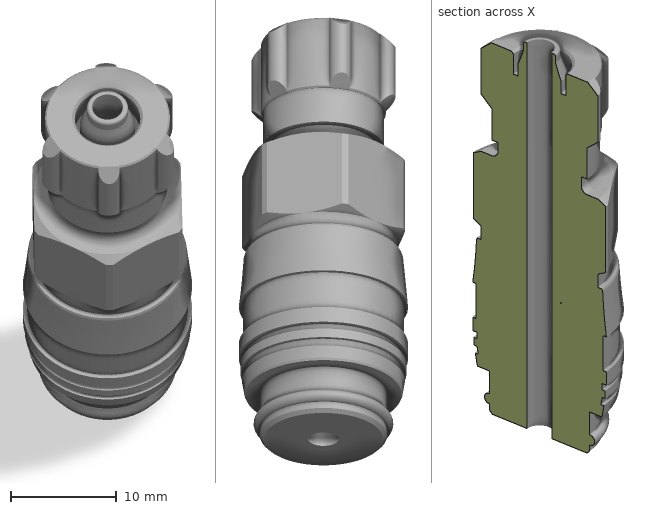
import cadquery as cq
import math

TOTAL_HEIGHT = 43.1
BORE_DIA = 2.9
BASE_Z = 0.0

PLUG_DIA = 12.0
PLUG_CHAMFER = 0.35
SEAL_DIA = 13.2
SEAL_SECTION_RADIUS = 0.6
SEAL_Z = 1.62

SLEEVE_MAX_DIA = 16.0
SLEEVE_BOTTOM_Z = 4.7
SLEEVE_EDGE_HEIGHT = 0.22
SLEEVE_EDGE_STEP = 0.1
LOWER_RING_BOTTOM_DIA = 15.0
LOWER_RING_TOP_DIA = 15.4
LOWER_RING_TOP_Z = 6.1
TAPER_GROOVE_BOTTOM_DIA = 14.7
TAPER_GROOVE_TOP_DIA = 15.0
MIDDLE_RING_DIA = 15.7
MIDDLE_RING_BOTTOM_Z = 6.9
MIDDLE_RING_TOP_Z = 7.8
GROOVE_DIA = 15.0
UPPER_RING_BOTTOM_Z = 8.45
UPPER_RING_TOP_Z = 10.0
GRIP_DIA = 15.2
CONE_BOTTOM_Z = 13.85
CONE_TOP_DIA = 15.1
SLEEVE_TOP_Z = 19.05

HEX_SIDES = 6
HEX_ACROSS_FLATS = 14.0
HEX_CORNER_DIA = 15.8
HEX_BEVEL_ANGLE = 30.0
HEX_BOTTOM_Z = 20.5
HEX_TOP_Z = 28.9

NECK_DIA = 10.0
NECK_FILLET = 0.7
COLLAR_DIA = 11.4
COLLAR_BOTTOM_Z = 30.6

NUT_DIA = 11.8
NUT_BOTTOM_Z = 34.15
NUT_TOP_Z = 41.48
NUT_EDGE_CHAMFER = 0.15
NUT_BORE_DIA = 6.2
NUT_BORE_CHAMFER = 0.25
NUT_BORE_FLOOR_Z = 39.0
RIB_COUNT = 6
RIB_RADIUS = 1.0
RIB_TIP_RADIUS = 7.0
RIB_ROOT_RADIUS = 5.75
RIB_BEVEL_HEIGHT = 1.1

NOZZLE_DIA = 3.9
NOZZLE_TIP_FILLET = 0.25
NOZZLE_CONE_TOP_Z = 42.1
NOZZLE_CONE_ANGLE = 20.0
NOZZLE_BASE_DIA = 5.2
NOZZLE_CONE_FLARE = (NOZZLE_BASE_DIA - NOZZLE_DIA) / 2
NOZZLE_CONE_BASE_Z = NOZZLE_CONE_TOP_Z - NOZZLE_CONE_FLARE / math.tan(math.radians(NOZZLE_CONE_ANGLE))


def disc(diameter, bottom_z, top_z):
    """Cylinder on the Z axis between two heights."""
    return cq.Workplane("XY", origin=(0, 0, bottom_z)).circle(diameter / 2).extrude(top_z - bottom_z)


def revolved(outline):
    """Turn a closed (radius, z) outline about the Z axis."""
    return cq.Workplane("XZ").polyline(outline).close().revolve(360, (0, 0, 0), (0, 1, 0))


def make_plug():
    """Plain plug with a bevelled end and a round-section sealing ring part-sunk into it."""
    plug = disc(PLUG_DIA, BASE_Z, SLEEVE_BOTTOM_Z).faces("<Z").edges().chamfer(PLUG_CHAMFER)
    section_center = SEAL_DIA / 2 - SEAL_SECTION_RADIUS
    seal = (
        cq.Workplane("XZ")
        .moveTo(section_center, SEAL_Z - SEAL_SECTION_RADIUS)
        .threePointArc((SEAL_DIA / 2, SEAL_Z), (section_center, SEAL_Z + SEAL_SECTION_RADIUS))
        .close()
        .revolve(360, (0, 0, 0), (0, 1, 0))
    )
    return plug.union(seal)


def make_sleeve():
    """Turned sleeve: tapered lower ring, grooved rings, plain grip and upper cone."""
    lower_edge_radius = LOWER_RING_BOTTOM_DIA / 2
    cone_top_radius = CONE_TOP_DIA / 2
    return revolved([
        (0, SLEEVE_BOTTOM_Z),
        (lower_edge_radius - SLEEVE_EDGE_STEP, SLEEVE_BOTTOM_Z),
        (lower_edge_radius, SLEEVE_BOTTOM_Z + SLEEVE_EDGE_HEIGHT),
        (LOWER_RING_TOP_DIA / 2, LOWER_RING_TOP_Z),
        (TAPER_GROOVE_BOTTOM_DIA / 2, LOWER_RING_TOP_Z),
        (TAPER_GROOVE_TOP_DIA / 2, MIDDLE_RING_BOTTOM_Z),
        (MIDDLE_RING_DIA / 2, MIDDLE_RING_BOTTOM_Z),
        (MIDDLE_RING_DIA / 2, MIDDLE_RING_TOP_Z),
        (GROOVE_DIA / 2, MIDDLE_RING_TOP_Z),
        (GROOVE_DIA / 2, UPPER_RING_BOTTOM_Z),
        (SLEEVE_MAX_DIA / 2, UPPER_RING_BOTTOM_Z),
        (SLEEVE_MAX_DIA / 2, UPPER_RING_TOP_Z),
        (GRIP_DIA / 2, UPPER_RING_TOP_Z),
        (GRIP_DIA / 2, CONE_BOTTOM_Z),
        (SLEEVE_MAX_DIA / 2, CONE_BOTTOM_Z),
        (cone_top_radius, SLEEVE_TOP_Z - SLEEVE_EDGE_HEIGHT),
        (cone_top_radius - SLEEVE_EDGE_STEP, SLEEVE_TOP_Z),
        (0, SLEEVE_TOP_Z),
    ])


def make_hexagon():
    """Hexagon with flats facing +X and -X and conical bevels at both ends."""
    half_side_angle = 180 / HEX_SIDES
    across_corners = HEX_ACROSS_FLATS / math.cos(math.radians(half_side_angle))
    prism = (
        cq.Workplane("XY", origin=(0, 0, HEX_BOTTOM_Z))
        .transformed(rotate=(0, 0, half_side_angle))
        .polygon(HEX_SIDES, across_corners)
        .extrude(HEX_TOP_Z - HEX_BOTTOM_Z)
    )
    face_radius = HEX_ACROSS_FLATS / 2
    corner_radius = HEX_CORNER_DIA / 2
    bevel_height = (corner_radius - face_radius) * math.tan(math.radians(HEX_BEVEL_ANGLE))
    envelope = revolved([
        (0, HEX_BOTTOM_Z),
        (face_radius, HEX_BOTTOM_Z),
        (corner_radius, HEX_BOTTOM_Z + bevel_height),
        (corner_radius, HEX_TOP_Z - bevel_height),
        (face_radius, HEX_TOP_Z),
        (0, HEX_TOP_Z),
    ])
    shoulder = disc(HEX_ACROSS_FLATS, SLEEVE_TOP_Z, HEX_BOTTOM_Z)
    return prism.intersect(envelope).union(shoulder)


def make_neck():
    """Neck flaring out to the hexagon through a concave fillet, with the collar on top."""
    neck_radius = NECK_DIA / 2
    foot_radius = neck_radius + NECK_FILLET
    fillet_top_z = HEX_TOP_Z + NECK_FILLET
    diagonal = NECK_FILLET * math.sqrt(0.5)
    neck = (
        cq.Workplane("XZ")
        .moveTo(0, HEX_TOP_Z)
        .lineTo(foot_radius, HEX_TOP_Z)
        .threePointArc((foot_radius - diagonal, fillet_top_z - diagonal), (neck_radius, fillet_top_z))
        .lineTo(neck_radius, COLLAR_BOTTOM_Z)
        .lineTo(0, COLLAR_BOTTOM_Z)
        .close()
        .revolve(360, (0, 0, 0), (0, 1, 0))
    )
    return neck.union(disc(COLLAR_DIA, COLLAR_BOTTOM_Z, NUT_BOTTOM_Z))


def make_rib():
    """Round rib on the -X side of the nut, with flat bevels at both ends."""
    center_radius = RIB_TIP_RADIUS - RIB_RADIUS
    inner_radius = center_radius - RIB_RADIUS
    bar = disc(2 * RIB_RADIUS, NUT_BOTTOM_Z, NUT_TOP_Z).translate((-center_radius, 0, 0))
    side_shape = (
        cq.Workplane("XZ")
        .polyline([
            (-inner_radius, NUT_BOTTOM_Z),
            (-RIB_ROOT_RADIUS, NUT_BOTTOM_Z),
            (-RIB_TIP_RADIUS, NUT_BOTTOM_Z + RIB_BEVEL_HEIGHT),
            (-RIB_TIP_RADIUS, NUT_TOP_Z - RIB_BEVEL_HEIGHT),
            (-RIB_ROOT_RADIUS, NUT_TOP_Z),
            (-inner_radius, NUT_TOP_Z),
        ])
        .close()
        .extrude(RIB_RADIUS, both=True)
    )
    return bar.intersect(side_shape)


def make_nozzle():
    """Nozzle with a rounded tip and a cone that widens down to a cylindrical base."""
    nozzle = disc(NOZZLE_DIA, NUT_BORE_FLOOR_Z, TOTAL_HEIGHT).faces(">Z").edges().fillet(NOZZLE_TIP_FILLET)
    base_and_cone = revolved([
        (0, NUT_BORE_FLOOR_Z),
        (NOZZLE_BASE_DIA / 2, NUT_BORE_FLOOR_Z),
        (NOZZLE_BASE_DIA / 2, NOZZLE_CONE_BASE_Z),
        (NOZZLE_DIA / 2, NOZZLE_CONE_TOP_Z),
        (0, NOZZLE_CONE_TOP_Z),
    ])
    return nozzle.union(base_and_cone)


def make_nut():
    """Six-ribbed nut with an annular recess around the nozzle."""
    nut = disc(NUT_DIA, NUT_BOTTOM_Z, NUT_TOP_Z).edges().chamfer(NUT_EDGE_CHAMFER)
    rib = make_rib()
    for index in range(RIB_COUNT):
        angle = 90 + index * 360 / RIB_COUNT
        nut = nut.union(rib.rotate((0, 0, 0), (0, 0, 1), angle))
    recess = disc(NUT_BORE_DIA, NUT_BORE_FLOOR_Z, NUT_TOP_Z)
    bore_radius = NUT_BORE_DIA / 2
    recess_bevel = revolved([
        (0, NUT_TOP_Z - NUT_BORE_CHAMFER),
        (bore_radius, NUT_TOP_Z - NUT_BORE_CHAMFER),
        (bore_radius + NUT_BORE_CHAMFER, NUT_TOP_Z),
        (0, NUT_TOP_Z),
    ])
    return nut.cut(recess).cut(recess_bevel)


body = make_plug()
for section in (make_sleeve(), make_hexagon(), make_neck(), make_nut(), make_nozzle()):
    body = body.union(section)

result = body.cut(disc(BORE_DIA, BASE_Z, TOTAL_HEIGHT))